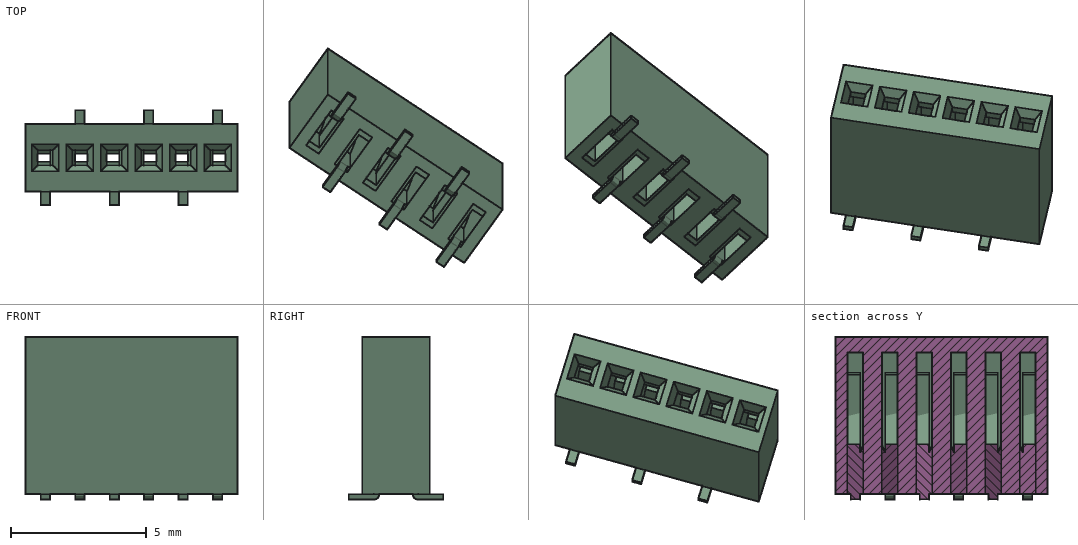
import cadquery as cq
import math

CONTACT_COUNT = 6
PITCH = 1.27
END_MARGIN = 0.1

HOUSING_LENGTH = CONTACT_COUNT * PITCH + 2 * END_MARGIN
HOUSING_WIDTH = 2.5
TOP_Z = 6.0
SHEET = 0.2

FUNNEL_MOUTH = 1.0
FUNNEL_DEPTH = 0.3
THROAT = 0.56
THROAT_DEPTH = 0.285
CAVITY_TOP = TOP_Z - FUNNEL_DEPTH - THROAT_DEPTH

FOOT_WIDTH = 0.35
FOOT_TIP = 3.5 / 2

LEG_INNER = 0.616
LEG_OUTER = LEG_INNER + SHEET
PINCH = 0.145
PINCH_Z = 3.6
BOW_RADIUS = 3.0
FLARE_ANGLE = math.radians(21)
PLATE_INNER = FOOT_WIDTH / 2
PLATE_THICKNESS = THROAT / 2 - PLATE_INNER
PLATE_BEVEL_TILT = math.radians(21.6)
PLATE_TOP = 2.0


def centred_box(size_x, size_y, bottom, top):
    """Box centred on the Z axis between two heights."""
    return cq.Workplane("XY").workplane(offset=bottom).rect(size_x, size_y).extrude(top - bottom)


def make_opening():
    """Everything cut from the housing for one contact, centred on the Z axis."""
    funnel = (
        cq.Workplane("XY")
        .workplane(offset=TOP_Z)
        .rect(FUNNEL_MOUTH, FUNNEL_MOUTH)
        .workplane(offset=-FUNNEL_DEPTH)
        .rect(THROAT, THROAT)
        .loft(ruled=True)
    )
    throat = centred_box(THROAT, THROAT, CAVITY_TOP, TOP_Z - FUNNEL_DEPTH)
    cavity = centred_box(THROAT, 2 * LEG_OUTER, SHEET, CAVITY_TOP)
    return funnel.union(throat).union(cavity)


def make_leaf():
    """Straight leg and bowed leaf on the +Y side, from the cavity's -X wall to the plate."""
    bow_center = PINCH + BOW_RADIUS
    back_radius = BOW_RADIUS - SHEET

    def knee_z(radius, leg_y):
        """Height at which the lower end of an arc reaches the leg's face."""
        return PINCH_Z - math.sqrt(radius**2 - (bow_center - leg_y) ** 2)

    def flare_end(radius):
        """Upper end of an arc about the bow's centre."""
        return (
            bow_center - radius * math.cos(FLARE_ANGLE),
            PINCH_Z + radius * math.sin(FLARE_ANGLE),
        )

    return (
        cq.Workplane("YZ")
        .workplane(offset=-THROAT / 2)
        .moveTo(LEG_INNER, SHEET)
        .lineTo(LEG_INNER, knee_z(BOW_RADIUS, LEG_INNER))
        .threePointArc((PINCH, PINCH_Z), flare_end(BOW_RADIUS))
        .lineTo(*flare_end(back_radius))
        .threePointArc((PINCH + SHEET, PINCH_Z), (LEG_OUTER, knee_z(back_radius, LEG_OUTER)))
        .lineTo(LEG_OUTER, SHEET)
        .close()
        .extrude(THROAT / 2 + PLATE_INNER)
    )


def make_plate():
    """Plate on the +X side that joins the two legs, bevelled at its top edge."""
    bevel_height = PLATE_THICKNESS / math.tan(PLATE_BEVEL_TILT)
    plate_outer = PLATE_INNER + PLATE_THICKNESS
    return (
        cq.Workplane("XZ")
        .moveTo(PLATE_INNER, SHEET)
        .lineTo(plate_outer, SHEET)
        .lineTo(plate_outer, PLATE_TOP)
        .lineTo(PLATE_INNER, PLATE_TOP - bevel_height)
        .close()
        .extrude(LEG_OUTER, both=True)
    )


def make_foot():
    """Solder foot toward -Y, rounded underneath where it bends up into the leg."""
    bend_radius = SHEET
    return (
        cq.Workplane("YZ")
        .workplane(offset=-FOOT_WIDTH / 2)
        .moveTo(-FOOT_TIP, 0)
        .lineTo(-LEG_INNER - bend_radius, 0)
        .radiusArc((-LEG_INNER, SHEET), -bend_radius)
        .lineTo(-FOOT_TIP, SHEET)
        .close()
        .extrude(FOOT_WIDTH)
    )


def make_contact():
    """One contact on the Z axis with its foot toward -Y."""
    leaf = make_leaf()
    return leaf.union(leaf.mirror("XZ")).union(make_plate()).union(make_foot())


first_x = -(CONTACT_COUNT - 1) * PITCH / 2
contact_xs = [first_x + index * PITCH for index in range(CONTACT_COUNT)]

housing = centred_box(HOUSING_LENGTH, HOUSING_WIDTH, SHEET, TOP_Z)
opening = make_opening()
for x in contact_xs:
    housing = housing.cut(opening.translate((x, 0, 0)))

contact = make_contact()
contacts = []
for index, x in enumerate(contact_xs):
    turn = 180 * (index % 2)
    placed = contact.rotate((0, 0, 0), (0, 0, 1), turn).translate((x, 0, 0))
    contacts.append(placed.val())

result = cq.Compound.makeCompound([housing.val(), *contacts])